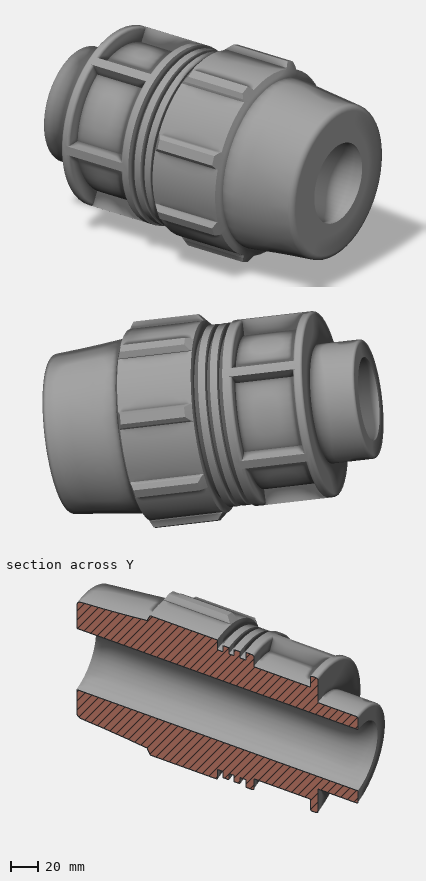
import cadquery as cq
import math

overall_length = 232.0
bore_diameter = 61.5

spigot_diameter = 88.0
edge_radius = 2.0

flange_diameter = 136.9
recess_depth = 11.5
first_flange_start = 33.0
recess_start = 39.7
recess_end = 85.8
second_flange_end = 92.8
body_rib_count = 6
body_rib_width = 7.0

neck_diameter = 121.5
ring_diameter = 134.0
ring_width = 5.3
ring_pitch = 9.0
first_ring_start = 97.2
ring_count = 2

nut_start = 116.0
nut_end = 174.2
nut_diameter = 141.5
nut_end_diameter = 129.5
grip_diameter = 151.7
grip_inner_side = 21.5
grip_inner_tip = 25.5
grip_outer_tip = 32.2
grip_outer_side = 33.5
grip_inner_shoulder_height = 68.2
grip_outer_shoulder_height = 64.5
quadrant_count = 4
grip_lead_in = 4.9
grip_run_out = 4.9

tail_end_diameter = 117.5
tail_edge_radius = 4.2


def disc(start, end, diameter):
    """Solid cylinder along X between two stations."""
    return cq.Workplane("YZ", origin=(start, 0, 0)).circle(diameter / 2).extrude(end - start)


def turned(points):
    """Solid of revolution about X from (station, radius) points."""
    return cq.Workplane("XY").polyline(points).close().revolve(360, (0, 0, 0), (1, 0, 0))


def ribbed_body():
    """Flanges with rounded rims, the recess floor between them and the ribs bridging them."""
    first_flange = disc(first_flange_start, recess_start, flange_diameter).edges().fillet(edge_radius)
    second_flange = disc(recess_end, second_flange_end, flange_diameter).edges("<X").fillet(edge_radius)
    floor = disc(recess_start, recess_end, flange_diameter - 2 * recess_depth)

    rib_start = recess_start - edge_radius
    rib_end = recess_end + edge_radius
    bar = (
        cq.Workplane("YZ", origin=(rib_start, 0, 0))
        .rect(flange_diameter, body_rib_width)
        .extrude(rib_end - rib_start)
    )
    bars = bar
    for index in range(1, body_rib_count // 2):
        bars = bars.union(bar.rotate((0, 0, 0), (1, 0, 0), index * 360 / body_rib_count))
    bars = bars.intersect(disc(rib_start, rib_end, flange_diameter))

    return first_flange.union(second_flange).union(floor).union(bars)


def ringed_neck():
    neck = disc(second_flange_end, nut_start, neck_diameter)
    for index in range(ring_count):
        start = first_ring_start + index * ring_pitch
        neck = neck.union(disc(start, start + ring_width, ring_diameter))
    return neck


def height_on_circle(offset, radius):
    """Height above the axis of a point on a circle, at a sideways offset from the axis."""
    return math.sqrt(radius**2 - offset**2)


def gripped_nut():
    """Cylinder with grip ribs, trimmed by an envelope that slopes both rib ends."""
    nut_radius = nut_diameter / 2
    grip_radius = grip_diameter / 2

    grip = (
        cq.Workplane("YZ", origin=(nut_start, 0, 0))
        .moveTo(grip_inner_side, 0)
        .lineTo(grip_inner_side, grip_inner_shoulder_height)
        .lineTo(grip_inner_tip, height_on_circle(grip_inner_tip, grip_radius))
        .lineTo(grip_outer_tip, height_on_circle(grip_outer_tip, grip_radius))
        .lineTo(grip_outer_side, grip_outer_shoulder_height)
        .lineTo(grip_outer_side, 0)
        .close()
        .extrude(nut_end - nut_start)
    )
    grip_pair = grip.union(grip.mirror("XZ"))

    nut = disc(nut_start, nut_end, nut_diameter)
    for index in range(quadrant_count):
        nut = nut.union(grip_pair.rotate((0, 0, 0), (1, 0, 0), index * 360 / quadrant_count))

    envelope = turned([
        (nut_start, 0),
        (nut_start, nut_radius),
        (nut_start + grip_lead_in, grip_radius),
        (nut_end - grip_run_out, grip_radius),
        (nut_end, nut_end_diameter / 2),
        (nut_end, 0),
    ])
    return nut.intersect(envelope)


def tapered_tail():
    tail = turned([
        (nut_end, 0),
        (nut_end, nut_end_diameter / 2),
        (overall_length, tail_end_diameter / 2),
        (overall_length, 0),
    ])
    return tail.faces(">X").edges().fillet(tail_edge_radius)


spigot = disc(0, first_flange_start, spigot_diameter).edges("<X").fillet(edge_radius)

result = (
    spigot
    .union(ribbed_body())
    .union(ringed_neck())
    .union(gripped_nut())
    .union(tapered_tail())
    .cut(disc(0, overall_length, bore_diameter))
)